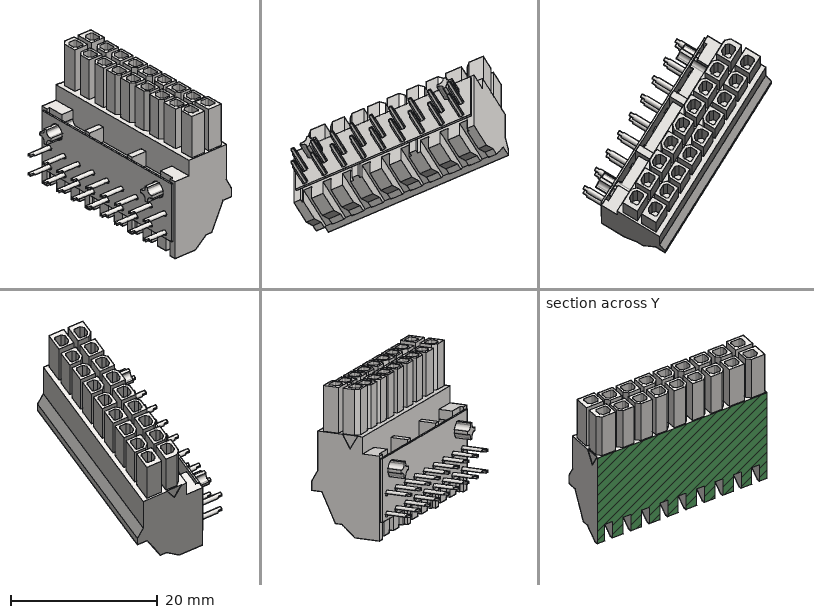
import cadquery as cq


column_count = 9
column_span = 24.0
pitch = column_span / (column_count - 1)
column_xs = [i * pitch - column_span / 2 for i in range(column_count)]

housing_length = 27.7
housing_height = 14.5
housing_back_y = 9.3
step_y = 2.52
step_z = 12.08
latch_y = 10.22
latch_bottom_z = 5.93
latch_top_z = 7.3
latch_ramp_top_z = 8.92
latch_root_y = 8.7
ledge_z = 1.65
ledge_front_y = 5.65
ledge_back_y = 6.65
bottom_back_y = 3.69
slot_width = 1.22
slot_height = 2.77

relief_depth = 0.5
end_wall_thickness = 1.05
end_block_length = 2.52
rib_width = 0.97
rib_x = 4.43

mark_width = 2.27
mark_height = 1.95
mark_depth = 0.08

row_front_y = 4.43
row_back_y = row_front_y + pitch
tower_width = 2.45
tower_depth = 2.33
tower_top_z = 20.7
end_tower_top_z = 20.98
end_tower_extra = 0.35
tower_chamfer = 0.6
cavity_width = 1.77
cavity_depth = 1.52
cavity_chamfer = 0.42
cavity_corner_radius = 0.28
row_keys = {row_front_y: "LLLRRRR-L", row_back_y: "-LLRRLRL-"}

board_length = 26.93
board_thickness = 0.28
board_bottom_z = 2.58
board_top_z = 11.65

peg_x = 10.5
peg_z = 9.53
peg_radius = 1.2
peg_end_y = -2.27
peg_arm_width = 0.5
peg_blend_radius = 0.67

shelf_z = peg_z + peg_arm_width / 2

pin_lower_z = 3.4
pin_zs = [pin_lower_z, pin_lower_z + pitch]
pin_diameter = 0.8
pin_radius = pin_diameter / 2
pin_bore_radius = 0.2
pin_end_y = -3.93
pin_tip_y = -3.38
pin_taper_y = -3.25
pin_tip_half_width = 0.25


def box(x0, x1, y0, y1, z0, z1):
    """Axis-aligned box between two opposite corners."""
    return cq.Workplane("XY").box(x1 - x0, y1 - y0, z1 - z0, centered=False).translate((x0, y0, z0))


def cylinder_along_y(x, z, radius, y0, y1):
    """Solid cylinder from y0 to y1."""
    return cq.Workplane("XZ", origin=(x, y0, z)).circle(radius).extrude(y0 - y1)


def make_housing():
    profile = [
        (0, 0),
        (0, step_z),
        (step_y, step_z),
        (step_y, housing_height),
        (housing_back_y, housing_height),
        (housing_back_y, latch_ramp_top_z),
        (latch_y, latch_top_z),
        (latch_y, latch_bottom_z),
        (latch_root_y, latch_bottom_z),
        (ledge_back_y, ledge_z),
        (ledge_front_y, ledge_z),
        (bottom_back_y, 0),
    ]
    return cq.Workplane("YZ").polyline(profile).close().extrude(housing_length / 2, both=True)


def cut_front_relief(body):
    """Set the front face back between the end walls, leaving two full ribs and an end block at each side."""
    inner_x = housing_length / 2 - end_wall_thickness
    block_x = inner_x - end_block_length
    relief = box(-inner_x, inner_x, 0, relief_depth, 0, step_z)
    relief = relief.union(box(-block_x, block_x, 0, step_y, shelf_z, step_z))
    for side in (-1, 1):
        x = side * rib_x
        relief = relief.cut(box(x - rib_width / 2, x + rib_width / 2, 0, step_y, 0, step_z))
    return body.cut(relief)


def cut_bottom_slots(body):
    for x in column_xs:
        body = body.cut(box(x - slot_width / 2, x + slot_width / 2, 0, latch_y, 0, slot_height))
    return body


def cut_end_mark(body):
    mark = (
        cq.Workplane("YZ", origin=(-housing_length / 2, 0, 0))
        .polyline([
            (row_front_y - mark_width / 2, housing_height),
            (row_front_y + mark_width / 2, housing_height),
            (row_front_y, housing_height - mark_height),
        ])
        .close()
        .extrude(mark_depth)
    )
    return body.cut(mark)


def make_tower(column, row_y, key):
    """Keyed hollow tower; the end columns are taller and reach further outwards."""
    x = column_xs[column]
    x0 = x - tower_width / 2
    x1 = x + tower_width / 2
    top_z = tower_top_z
    if column == 0:
        x0 -= end_tower_extra
    if column == column_count - 1:
        x1 += end_tower_extra
    if column in (0, column_count - 1):
        top_z = end_tower_top_z
    tower = box(x0, x1, row_y - tower_depth / 2, row_y + tower_depth / 2, housing_height, top_z)
    if key == "L":
        tower = tower.edges("|Z and <X and <Y").chamfer(tower_chamfer)
    elif key == "R":
        tower = tower.edges("|Z and >X and <Y").chamfer(tower_chamfer)
    cavity = (
        cq.Workplane("XY", origin=(x, row_y, housing_height))
        .rect(cavity_width, cavity_depth)
        .extrude(top_z - housing_height)
        .edges("|Z and <Y")
        .chamfer(cavity_chamfer)
        .edges("|Z and >Y")
        .fillet(cavity_corner_radius)
    )
    return tower.cut(cavity)


def make_board():
    board = box(-board_length / 2, board_length / 2, -board_thickness, 0, board_bottom_z, board_top_z)
    for x in (-peg_x, peg_x):
        board = board.cut(cylinder_along_y(x, peg_z, peg_radius, -board_thickness, 0))
    for x in column_xs:
        for z in pin_zs:
            board = board.cut(cylinder_along_y(x, z, pin_radius, -board_thickness, 0))
    return board


def make_peg(x):
    """Cross-shaped peg: two crossing bars blended at their inner corners, within a round outline."""
    length = step_y - peg_end_y
    section_plane = cq.Workplane("XZ", origin=(x, step_y, peg_z))
    peg = section_plane.rect(2 * peg_radius, peg_arm_width).extrude(length)
    peg = peg.union(section_plane.rect(peg_arm_width, 2 * peg_radius).extrude(length))
    inner_corners = cq.selectors.BoxSelector(
        (x - peg_arm_width, peg_end_y, peg_z - peg_arm_width),
        (x + peg_arm_width, step_y, peg_z + peg_arm_width),
    )
    peg = peg.edges("|Y").edges(inner_corners).fillet(peg_blend_radius)
    return peg.intersect(cylinder_along_y(x, peg_z, peg_radius, peg_end_y, step_y))


def make_pin():
    """One pin centred on x = 0, z = 0."""
    outline = [
        (-pin_radius, relief_depth),
        (-pin_radius, pin_taper_y),
        (-pin_tip_half_width, pin_tip_y),
        (-pin_tip_half_width, pin_end_y),
        (pin_tip_half_width, pin_end_y),
        (pin_tip_half_width, pin_tip_y),
        (pin_radius, pin_taper_y),
        (pin_radius, relief_depth),
    ]
    envelope = cq.Workplane("XY").polyline(outline).close().extrude(pin_radius)
    pin = cylinder_along_y(0, 0, pin_radius, pin_end_y, relief_depth)
    pin = pin.cut(cylinder_along_y(0, 0, pin_bore_radius, pin_end_y, relief_depth))
    return pin.intersect(envelope)


result = make_housing()
result = cut_front_relief(result)
result = cut_bottom_slots(result)
result = cut_end_mark(result)
for row_y, keys in row_keys.items():
    for column, key in enumerate(keys):
        result = result.union(make_tower(column, row_y, key))
result = result.union(make_board())
for peg_center_x in (-peg_x, peg_x):
    result = result.union(make_peg(peg_center_x))
pin = make_pin()
for pin_x in column_xs:
    for pin_z in pin_zs:
        result = result.union(pin.translate((pin_x, 0, pin_z)))